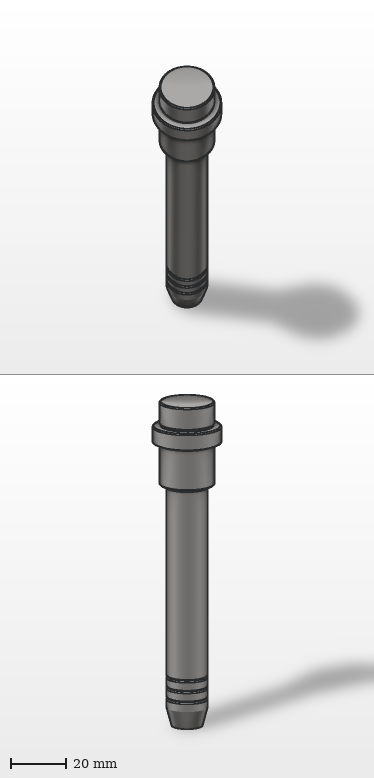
import cadquery as cq
import math

shank_length = 90.0
body_length = 16.0
flange_thickness = 6.0
spigot_length = 9.0

body_bottom = shank_length
flange_bottom = body_bottom + body_length
flange_top = flange_bottom + flange_thickness
pin_top = flange_top + spigot_length

shank_radius = 15.0 / 2
body_radius = 20.0 / 2
flange_radius = 25.0 / 2

edge_chamfer = 0.5

relief_width = 1.0
relief_depth = 0.5

taper_length = 7.0
taper_angle = math.radians(15)
tip_radius = shank_radius - taper_length * math.tan(taper_angle)
tip_rounding = 0.5

ring_count = 3
ring_pitch = 4.0
ring_width = 1.1
ring_depth = 0.5
lowest_ring_z = 10.45


def revolve_about_z(profile):
    """Turn a closed outline of (radius, height) points about the Z axis."""
    return cq.Workplane("XZ").polyline(profile).close().revolve(360, (0, 0, 0), (0, 1, 0))


def cylinder(radius, bottom, top):
    return cq.Workplane("XY").workplane(offset=bottom).circle(radius).extrude(top - bottom)


def make_shank():
    shank = revolve_about_z([
        (0, 0),
        (tip_radius, 0),
        (shank_radius, taper_length),
        (shank_radius, shank_length),
        (0, shank_length),
    ])
    return shank.faces("<Z").edges().fillet(tip_rounding)


def make_head():
    body = cylinder(body_radius, body_bottom, flange_bottom).faces("<Z").chamfer(edge_chamfer)
    flange = cylinder(flange_radius, flange_bottom, flange_top).faces(">Z").chamfer(edge_chamfer)
    spigot = cylinder(body_radius, flange_top, pin_top).faces(">Z").chamfer(edge_chamfer)
    return body.union(flange).union(spigot)


def relief_cutter(radius, shoulder_z, far_z, far_slope):
    """Groove from a shoulder to far_z, where its side leans over a height of far_slope."""
    floor = radius - relief_depth
    direction = math.copysign(1, far_z - shoulder_z)
    return revolve_about_z([
        (radius, shoulder_z),
        (floor, shoulder_z),
        (floor, far_z - direction * far_slope),
        (radius, far_z),
    ])


def ring_cutter(center_z):
    return revolve_about_z([
        (shank_radius, center_z - ring_width / 2),
        (shank_radius - ring_depth, center_z),
        (shank_radius, center_z + ring_width / 2),
    ])


result = make_shank().union(make_head())

result = result.cut(relief_cutter(body_radius, flange_top, flange_top + relief_width, relief_depth))
result = result.cut(relief_cutter(body_radius, flange_bottom, flange_bottom - relief_width, relief_depth))
result = result.cut(relief_cutter(shank_radius, body_bottom, body_bottom - relief_width, 0))

for index in range(ring_count):
    result = result.cut(ring_cutter(lowest_ring_z + index * ring_pitch))